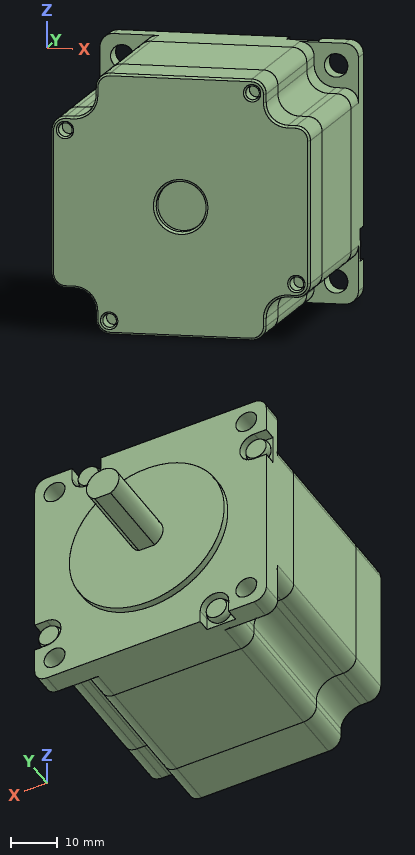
import cadquery as cq


frame_size = 57.0
housing_length = 51.0
flange_thickness = 5.0
front_cap_length = 12.0
stator_length = 27.5
rear_cap_length = housing_length - front_cap_length - stator_length

half_frame = frame_size / 2
flange_corner_radius = 3.0
mount_hole_diameter = 5.1
mount_hole_inset = 4.93
relief_depth = 9.75
relief_outer_radius = 3.15
relief_inner_radius = relief_depth - mount_hole_inset

pilot_diameter = 38.1
pilot_height = 1.6
shaft_diameter = 8.0
shaft_reach = 21.0
shaft_flat_depth = 0.5

screw_edge_inset = 3.0
screw_z = half_frame - screw_edge_inset
screw_x = 15.75
screw_shank_diameter = 3.0
screw_head_rim_diameter = 5.0
screw_head_diameter = 5.7
screw_head_height = 2.15
screw_engagement = 7.5
screw_shank_length = front_cap_length + stator_length + screw_engagement
screw_pocket_width = 7.0
screw_pocket_depth = 3.0

rear_edge_chamfer = 0.5
rear_hole_chamfer = 0.4
rear_recess_diameter = 11.0
rear_recess_depth = 2.0
rear_recess_chamfer = 0.5

quarter_turns = [0, 90, 180, 270]


def plane_at(y):
    """Workplane across the motor axis; positive extrusions run towards -Y."""
    return cq.Workplane("XZ", origin=(0, y, 0))


def turned(shape, angle):
    """Copy of a shape turned about the motor axis."""
    return shape.rotate((0, 0, 0), (0, 1, 0), angle)


def housing_block(front_y, length):
    """Square block with a rounded relief at each corner."""
    block = plane_at(front_y).rect(frame_size, frame_size).extrude(length)
    corner_cut = (
        plane_at(front_y)
        .rect(2 * relief_depth, 2 * relief_depth)
        .extrude(length)
        .edges("|Y")
        .fillet(relief_inner_radius)
    )
    for x in (-half_frame, half_frame):
        for z in (-half_frame, half_frame):
            block = block.cut(corner_cut.translate((x, 0, z)))
    shoulder = half_frame - relief_depth
    middle_y = front_y - length / 2
    for side in (-half_frame, half_frame):
        for step in (-shoulder, shoulder):
            for x, z in ((side, step), (step, side)):
                edge = cq.selectors.NearestToPointSelector((x, middle_y, z))
                block = block.edges(edge).fillet(relief_outer_radius)
    return block


def screw_bore(front_y, length):
    """Cylinder of the screw shank diameter, on the axis of one screw."""
    return plane_at(front_y).center(screw_x, screw_z).circle(screw_shank_diameter / 2).extrude(length)


def cut_screw_bores(body, front_y, length):
    """Body with the bores of all four screws cut through it."""
    bore = screw_bore(front_y, length)
    for angle in quarter_turns:
        body = body.cut(turned(bore, angle))
    return body


def make_shaft():
    """Output shaft with a flat along its -Z side."""
    shaft = plane_at(0).circle(shaft_diameter / 2).extrude(-shaft_reach)
    flat_z = shaft_flat_depth - shaft_diameter / 2
    flat_cut = (
        plane_at(pilot_height)
        .center(0, flat_z - shaft_diameter / 2)
        .rect(shaft_diameter, shaft_diameter)
        .extrude(pilot_height - shaft_reach)
    )
    return shaft.cut(flat_cut)


def screw_pocket():
    """Round-bottomed pocket, open at the side of the flange, for one screw head."""
    round_end = (
        plane_at(0).center(screw_x, screw_z).circle(screw_pocket_width / 2).extrude(screw_pocket_depth)
    )
    side_opening = (
        plane_at(0)
        .center(screw_x, screw_z + screw_pocket_width / 2)
        .rect(screw_pocket_width, screw_pocket_width)
        .extrude(screw_pocket_depth)
    )
    return round_end.union(side_opening)


def make_front_cap():
    """Mounting flange with pilot and shaft, and the relieved section behind it."""
    mount_pitch = frame_size - 2 * mount_hole_inset
    flange = (
        plane_at(0)
        .rect(frame_size, frame_size)
        .extrude(flange_thickness)
        .edges("|Y")
        .fillet(flange_corner_radius)
    )
    mount_holes = (
        plane_at(0)
        .rect(mount_pitch, mount_pitch, forConstruction=True)
        .vertices()
        .circle(mount_hole_diameter / 2)
        .extrude(flange_thickness)
    )
    body = flange.cut(mount_holes)
    body = body.union(housing_block(-flange_thickness, front_cap_length - flange_thickness))
    body = body.union(plane_at(0).circle(pilot_diameter / 2).extrude(-pilot_height))
    body = body.union(make_shaft())
    pocket = screw_pocket()
    for angle in quarter_turns:
        body = body.cut(turned(pocket, angle))
    return cut_screw_bores(body, 0, front_cap_length)


def make_stator():
    """Laminated middle section."""
    body = housing_block(-front_cap_length, stator_length)
    return cut_screw_bores(body, -front_cap_length, stator_length)


def make_rear_cap():
    """End cover with chamfered outline, screw holes and a shallow central recess."""
    front_y = rear_cap_length - housing_length
    body = housing_block(front_y, rear_cap_length)
    body = body.faces("<Y").chamfer(rear_edge_chamfer)
    body = cut_screw_bores(body, front_y, rear_cap_length)
    recess = plane_at(-housing_length).circle(rear_recess_diameter / 2).extrude(-rear_recess_depth)
    body = body.cut(recess)

    def countersink(x, z, diameter, size):
        """Cone that widens the mouth of a rear hole."""
        base = cq.Vector(x, -housing_length, z)
        cone = cq.Solid.makeCone(diameter / 2 + size, diameter / 2, size, base, cq.Vector(0, 1, 0))
        return cq.Workplane(cone)

    body = body.cut(countersink(0, 0, rear_recess_diameter, rear_recess_chamfer))
    screw_sink = countersink(screw_x, screw_z, screw_shank_diameter, rear_hole_chamfer)
    for angle in quarter_turns:
        body = body.cut(turned(screw_sink, angle))
    return body


def make_screw():
    """Screw with a barrel-shaped head seated on the floor of its pocket."""
    rim_radius = screw_head_rim_diameter / 2
    head_profile = (
        cq.Workplane("XY")
        .lineTo(rim_radius, 0)
        .threePointArc((screw_head_diameter / 2, screw_head_height / 2), (rim_radius, screw_head_height))
        .lineTo(0, screw_head_height)
        .close()
    )
    head = head_profile.revolve(360, (0, 0, 0), (0, 1, 0))
    head = head.translate((screw_x, -screw_pocket_depth, screw_z))
    shank = screw_bore(-screw_pocket_depth, screw_shank_length - screw_pocket_depth)
    return head.union(shank)


front_cap = make_front_cap()
stator = make_stator()
rear_cap = make_rear_cap()
screws = [turned(make_screw(), angle) for angle in quarter_turns]

result = cq.Compound.makeCompound(
    [front_cap.val(), stator.val(), rear_cap.val(), *[screw.val() for screw in screws]]
)